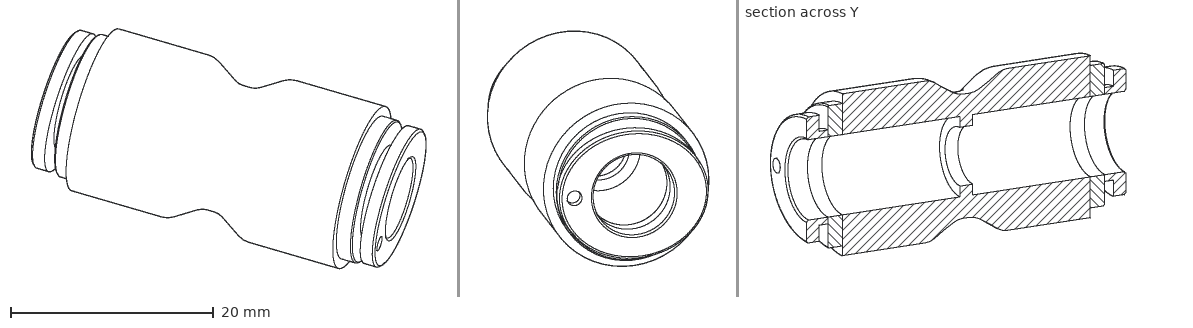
import cadquery as cq


total_length = 36.2
bore_diameter = 8.2

flange_width = 15.0
flange_height = 13.0
flange_thickness = 1.5
flange_chamfer = 0.2
neck_diameter = 9.7
collar_length = 2.43
mouth_chamfer = 0.2
dimple_diameter = 1.5
dimple_offset = 6.0
dimple_depth = 1.0

ring_diameter = 14.7
ring_length = 1.63
ring_chamfer = 0.15

housing_diameter = 16.7
waist_diameter = 12.8
through_diameter = 6.0
tube_stop_length = 1.45
shoulder_end = 4.1
waist_end = 0.98
blend_radius = 2.0

collar_end = total_length / 2
ring_end = collar_end - collar_length
housing_end = ring_end - ring_length


def rod(diameter, start_x, length):
    """Solid cylinder along +X, starting at start_x."""
    return cq.Workplane("YZ", origin=(start_x, 0, 0)).circle(diameter / 2).extrude(length)


def make_housing():
    """Waisted body with a tube socket in each end and a narrower hole between them."""
    outer_radius = housing_diameter / 2
    waist_radius = waist_diameter / 2
    outline = [
        (-housing_end, 0),
        (-housing_end, outer_radius),
        (-shoulder_end, outer_radius),
        (-waist_end, waist_radius),
        (waist_end, waist_radius),
        (shoulder_end, outer_radius),
        (housing_end, outer_radius),
        (housing_end, 0),
    ]
    body = cq.Workplane("XY").polyline(outline).close().revolve(360, (0, 0, 0), (1, 0, 0))

    corner_zone = cq.selectors.BoxSelector(
        (-housing_end / 2, -outer_radius, -outer_radius),
        (housing_end / 2, outer_radius, outer_radius),
    )
    body = body.edges("%CIRCLE").edges(corner_zone).fillet(blend_radius)

    socket_depth = housing_end - tube_stop_length / 2
    for socket_start in (-housing_end, tube_stop_length / 2):
        body = body.cut(rod(bore_diameter, socket_start, socket_depth))
    return body.cut(rod(through_diameter, -housing_end, 2 * housing_end))


def make_ring():
    """End ring on the -X end of the housing, with its outer rim chamfered."""
    ring = rod(ring_diameter, -ring_end, ring_length).faces("<X").chamfer(ring_chamfer)
    return ring.cut(rod(bore_diameter, -ring_end, ring_length))


def make_collar():
    """Release collar on the -X end: an oval flange on a round neck, bored through."""
    flange = (
        cq.Workplane("YZ", origin=(-collar_end, 0, 0))
        .ellipse(flange_width / 2, flange_height / 2)
        .extrude(flange_thickness)
        .faces("<X")
        .chamfer(flange_chamfer)
    )
    neck = rod(neck_diameter, -collar_end + flange_thickness, collar_length - flange_thickness)
    collar = flange.union(neck)
    collar = collar.cut(rod(bore_diameter, -collar_end, collar_length))

    mouth = cq.Solid.makeCone(
        bore_diameter / 2 + mouth_chamfer,
        bore_diameter / 2,
        mouth_chamfer,
        pnt=cq.Vector(-collar_end, 0, 0),
        dir=cq.Vector(1, 0, 0),
    )
    collar = collar.cut(cq.Workplane(mouth))

    dimple = rod(dimple_diameter, -collar_end, dimple_depth).translate((0, dimple_offset, 0))
    return collar.cut(dimple)


housing = make_housing()
bodies = [housing.val()]
for turn in (0, 180):
    for end_body in (make_ring(), make_collar()):
        bodies.append(end_body.rotate((0, 0, 0), (0, 0, 1), turn).val())

result = cq.Compound.makeCompound(bodies)